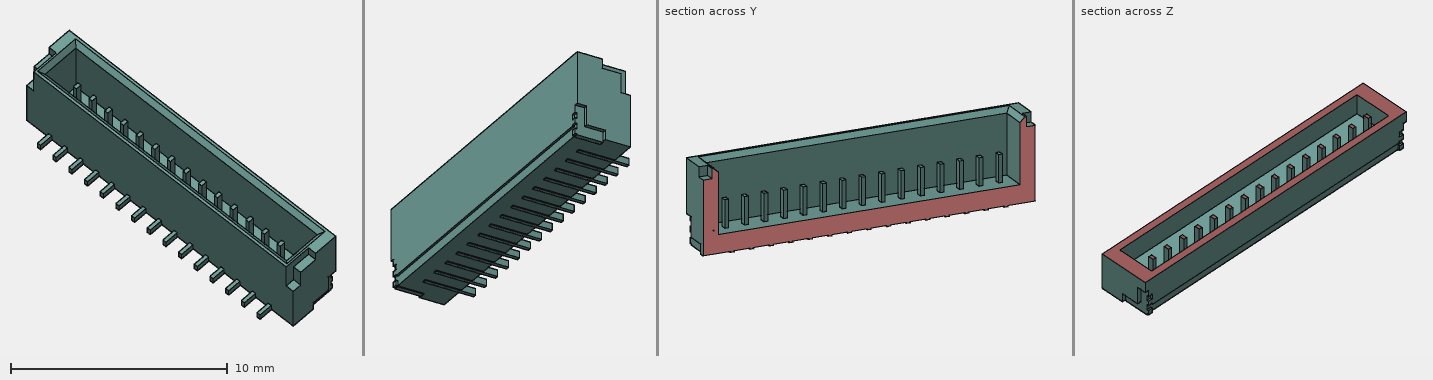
import cadquery as cq

length = 17.0
overall_depth = 3.6
height = 4.3
standoff = 0.05
lead_reach = 0.75
body_depth = overall_depth - lead_reach

pin_count = 15
pin_pitch = 1.0
pin_width = 0.2
pin_thickness = 0.3
pin_setback = 1.05
pin_top_z = 2.4
lead_height = standoff + pin_thickness

cavity_chamfer = 0.25
cavity_end_wall = 0.8
cavity_side_wall = 0.4
cavity_floor_z = 1.0

step_short = 0.5
step_long = 1.5
recess_depth = 0.45

tab_inset = 0.2
tab_tooth_height = 0.28
tab_notch_depth = 0.1
tab_notch_count = 2

back_y = overall_depth / 2
front_y = back_y - body_depth
lead_tip_y = front_y - lead_reach
pin_y = back_y - pin_setback
body_mid_y = (back_y + front_y) / 2


def box_between(x_range, y_range, z_range):
    """Axis-aligned box given its lower and upper limit on each axis."""
    sizes = [high - low for low, high in (x_range, y_range, z_range)]
    corner = (x_range[0], y_range[0], z_range[0])
    return cq.Workplane("XY").box(*sizes, centered=False).translate(corner)


def l_step(x_range, corner_y, y_sign, corner_z, z_sign):
    """L-shaped block filling a lengthwise body edge, with its legs along Y and Z."""
    outline = [(0, 0), (step_long, 0), (step_long, step_short), (step_short, step_short),
               (step_short, step_long), (0, step_long)]
    points = [(corner_y + y_sign * y, corner_z + z_sign * z) for y, z in outline]
    block = cq.Workplane("YZ", origin=(x_range[0], 0, 0)).polyline(points).close()
    return block.extrude(x_range[1] - x_range[0])


def end_range(near, far):
    """X range at the -X end, given two distances from the end face."""
    return (near - length / 2, far - length / 2)


def at_both_ends(shape):
    return shape.union(shape.mirror("YZ"))


def make_cavity():
    """Open-topped pocket with a chamfered rim."""
    inner_x = length - 2 * cavity_end_wall
    inner_y = body_depth - 2 * cavity_side_wall
    pocket = (
        cq.Workplane("XY", origin=(0, body_mid_y, cavity_floor_z))
        .rect(inner_x, inner_y)
        .extrude(height - cavity_floor_z)
    )
    rim = (
        cq.Workplane("XY", origin=(0, body_mid_y, height - cavity_chamfer))
        .rect(inner_x, inner_y)
        .workplane(offset=cavity_chamfer)
        .rect(inner_x + 2 * cavity_chamfer, inner_y + 2 * cavity_chamfer)
        .loft(ruled=True)
    )
    return pocket.union(rim)


def make_body():
    """Housing with stepped end recesses and a relief along the lower back edge."""
    half_length = length / 2
    body = box_between((-half_length, half_length), (front_y, back_y), (standoff, height))
    recess_x = end_range(0, recess_depth)
    top_recess = l_step(recess_x, front_y, 1, height, -1)
    bottom_recess = l_step(recess_x, back_y, -1, standoff, 1)
    back_relief = box_between(
        (-half_length, half_length), (back_y - tab_notch_depth, back_y), (standoff, standoff + step_short)
    )
    body = body.cut(at_both_ends(top_recess)).cut(at_both_ends(bottom_recess))
    return body.cut(back_relief).cut(make_cavity())


def make_tabs():
    """Solder tabs set in the lower end recesses, with toothed back edges."""
    tab_x = end_range(tab_inset, recess_depth)
    notch_y = (back_y - tab_notch_depth, back_y)
    tab = l_step(tab_x, back_y, -1, standoff, 1)
    foot = box_between(tab_x, (back_y - step_long, back_y - tab_notch_depth), (0, step_short))
    tab = tab.union(foot)
    tooth_pitch = 2 * tab_tooth_height
    for notch in range(tab_notch_count):
        notch_z = standoff + tab_tooth_height + notch * tooth_pitch
        tab = tab.cut(box_between(tab_x, notch_y, (notch_z, notch_z + tab_tooth_height)))
    return at_both_ends(tab)


def make_contact(x):
    """Upright pin in the cavity and the matching solder lead at the front."""
    x_range = (x - pin_width / 2, x + pin_width / 2)
    pin_y_range = (pin_y - pin_thickness / 2, pin_y + pin_thickness / 2)
    pin = box_between(x_range, pin_y_range, (0, pin_top_z))
    lead = box_between(x_range, (lead_tip_y, pin_y), (0, lead_height))
    return pin.union(lead)


result = make_body().union(make_tabs())
for index in range(pin_count):
    result = result.union(make_contact((index - (pin_count - 1) / 2) * pin_pitch))